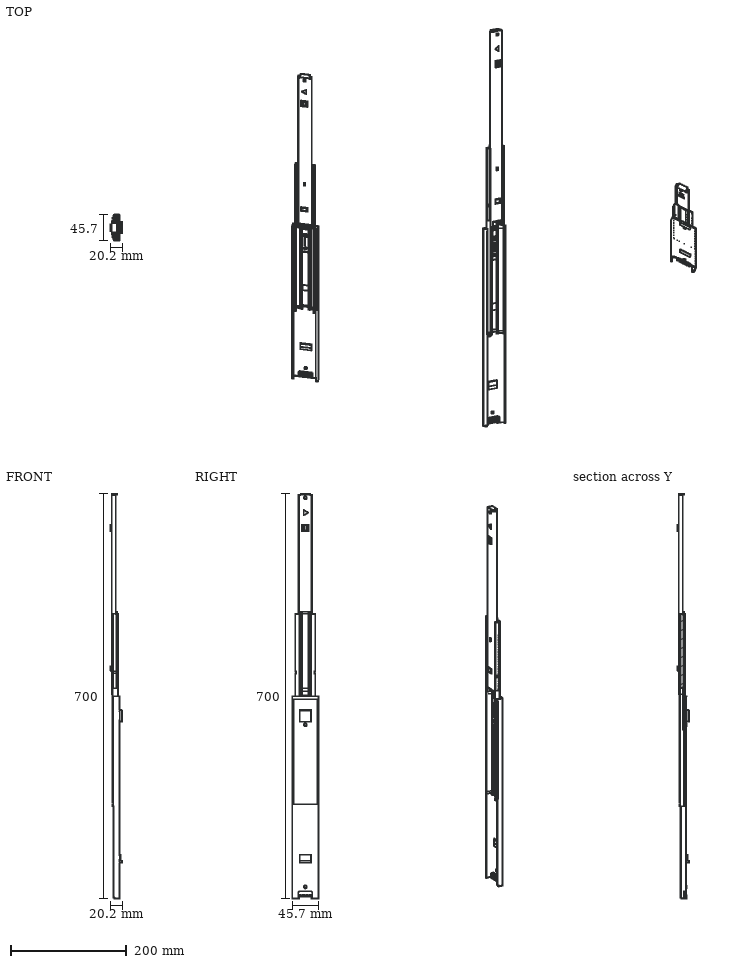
import cadquery as cq

CUT_MARGIN = 1.0

overall_depth = 20.19
overall_length = 700.0
x_hook_tip = overall_depth / 2
x_lance_tip = -overall_depth / 2

outer_half_width = 45.7 / 2
outer_wall = 1.5
outer_back = 5.9
outer_front = -4.9
outer_lip_edge = 19.4
outer_length = 350.0
outer_corner = 2.2
outer_lip_corner = 2.8
outer_lip_setback = 2.1
end_notch_half_width = 10.5
end_notch_height = 6.3
mounting_hole = 4.6
outer_hole_z = 20.4
outer_web_inside = outer_back - outer_wall

hook_half_width = 10.0
hook_plate = 2.0
hook_foot = 4.0
hook_window_half_width = 9.5
upper_window_margin = 2.5
lower_window_bottom = 67.6
lower_window_top = 75.4
lower_window_bevel = (0.8, 4.6)
lower_hook_bottom = 62.0
lower_hook_height = 14.4
upper_hook_bottom = 306.0
upper_hook_height = 20.8
upper_hook_bevel = 2.2

middle_half_width = 17.6
middle_wall = 1.3
middle_back = 3.3
middle_front = -7.0
middle_lip_edge = 15.1
middle_bottom = 159.5
middle_top = 492.0
middle_corner = 2.0
ridge_front = 0.4
ridge_base_half = 10.3
ridge_top_half = 8.3
ridge_tongue = 4.0
ridge_groove_half = 5.0
ridge_groove_depth = 0.5
lip_notch_z = 162.9
lip_notch_height = 3.9
flange_notch_z = 389.4
flange_notch_height = 3.4
flange_notch_inner = 16.2
window_z = 202.5
window_height = 12.0
end_window_height = 8.6
shared_hole_z = 300.4

inner_half_width = 12.0
inner_wall = 1.4
inner_web_face = -7.9
inner_open_face = -0.7
inner_bottom = 353.0
inner_web_bottom = 362.0
inner_flange_top = 697.8
inner_corner = 2.0
inner_tab_half = 8.2
inner_tab_tip = 1.4
inner_tab_wall = 1.8
inner_hole_z = 692.5
index_slot = (3.0, 5.5)
index_slot_z = 454.3
mark_size = (8.0, 9.5)
mark_depth = 0.4
mark_z = 667.0
mark_base_y = -3.0
lance_half_width = 5.8
lance_border = 1.6
lance_slot_half = 1.9
lance_slot_depth = 1.1
lance_step_half = 3.9
lance_step = 0.8
lance_bevel = 1.4
upper_lance_z = 635.0
upper_lance_height = 11.5
lower_lance_z = 393.0
lower_lance_height = 8.5

outer_cage_bottom = 163.0
outer_cage_top = 345.0
outer_cage_plate = 0.8
outer_cage_clearance = 0.15
outer_cage_back = outer_web_inside - outer_cage_clearance
outer_cage_front = -2.7
outer_cage_half_width = 20.4
outer_cage_arm = 2.0

inner_cage_bottom = 364.0
inner_cage_plate = 0.6
inner_cage_back = 0.2
inner_cage_front = -5.0
inner_cage_half_width = 16.1
inner_cage_arm = 0.8
cage_collar_height = 21.0
cage_collar_inner = 13.6

latch_half_width = ridge_groove_half
latch_thickness = 1.5
latch_bottom = 292.0
latch_top = 358.5
latch_back = ridge_front + ridge_groove_depth
latch_front = latch_back - latch_thickness
latch_groove_depth = 0.6
latch_groove_width = 2.4
latch_groove_heights = (328.0, 332.5, 345.5, 350.5)
latch_slot = (1.6, 15.0)
latch_slot_y = 1.05
latch_slot_z = 315.0

bumper_half_width = 12.4
bumper_bottom = 3.0
bumper_height = 9.8
bumper_front = 0.9
bumper_corner = 2.0
tooth_pitch = 6.3
tooth_gap = 2.0
tooth_gap_count = 4
tooth_gap_height = end_notch_height - bumper_bottom
rib_depth = 1.0
cross_groove = 1.4


def block(x_range, y_range, z_range):
    """Box between the given limits."""
    size = [abs(b - a) for a, b in (x_range, y_range, z_range)]
    corner = [min(limits) for limits in (x_range, y_range, z_range)]
    return cq.Workplane().box(*size, centered=False).translate(tuple(corner))


def centred_block(x_range, half_width, z_range):
    return block(x_range, (-half_width, half_width), z_range)


def side_blocks(x_range, y_inner, y_outer, z_range):
    """Equal boxes on the +Y and -Y sides."""
    return block(x_range, (y_inner, y_outer), z_range).union(
        block(x_range, (-y_outer, -y_inner), z_range)
    )


def cross_hole(diameter, z):
    """Round cutter along X, longer than the slide is deep."""
    return (
        cq.Workplane("YZ")
        .center(0, z)
        .circle(diameter / 2)
        .extrude(overall_depth, both=True)
    )


def channel(web_face, open_face, half_width, wall, opening_half, web_radius, open_radius, z_range):
    """C-section rail along Z, with its web at web_face and a slot through open_face."""
    inward = 1 if open_face > web_face else -1
    web_edges, open_edges = ("<X", ">X") if inward > 0 else (">X", "<X")
    lipped = opening_half < half_width - wall
    cavity_end = open_face - inward * wall if lipped else open_face + inward * CUT_MARGIN
    cavity = centred_block((web_face + inward * wall, cavity_end), half_width - wall, z_range)
    rail = centred_block((web_face, open_face), half_width, z_range)
    rail = rail.edges("|Z").edges(web_edges).fillet(web_radius)
    cavity = cavity.edges("|Z").edges(web_edges).fillet(web_radius - wall)
    if lipped:
        rail = rail.edges("|Z").edges(open_edges).fillet(open_radius)
        cavity = cavity.edges("|Z").edges(open_edges).fillet(open_radius - wall)
    slot_range = (web_face + inward * 2 * wall, open_face + inward * CUT_MARGIN)
    return rail.cut(cavity).cut(centred_block(slot_range, opening_half, z_range))


def add_hook(rail, window_range, outline):
    """Window in the web, bridged from behind by a hook of the given XZ outline."""
    window = centred_block(
        (outer_web_inside - CUT_MARGIN, outer_back + CUT_MARGIN),
        hook_window_half_width,
        window_range,
    )
    hook = cq.Workplane("XZ").polyline(outline).close().extrude(hook_half_width, both=True)
    return rail.cut(window).union(hook)


def make_outer_rail():
    rail = channel(
        outer_back, outer_front, outer_half_width, outer_wall, outer_lip_edge,
        outer_corner, outer_lip_corner, (0, outer_length),
    )
    rail = rail.cut(
        centred_block(
            (outer_web_inside - CUT_MARGIN, outer_back + CUT_MARGIN),
            end_notch_half_width,
            (-CUT_MARGIN, end_notch_height),
        )
    )
    lip_range = (outer_front - CUT_MARGIN, outer_front + outer_wall)
    rail = rail.cut(
        centred_block(lip_range, outer_half_width + CUT_MARGIN, (-CUT_MARGIN, outer_lip_setback))
    )
    hook_back = outer_back + hook_plate

    lower_top = lower_hook_bottom + lower_hook_height
    lower_outline = [
        (outer_back, lower_hook_bottom),
        (x_hook_tip, lower_hook_bottom),
        (x_hook_tip, lower_hook_bottom + hook_foot),
        (hook_back, lower_hook_bottom + hook_foot),
        (hook_back, lower_top),
        (outer_back, lower_top),
    ]
    rail = add_hook(rail, (lower_window_bottom, lower_window_top), lower_outline)
    bevel_depth, bevel_height = lower_window_bevel
    bevel = (
        cq.Workplane("XZ")
        .polyline([
            (outer_web_inside, lower_window_bottom - bevel_height),
            (outer_web_inside, lower_window_bottom),
            (outer_web_inside + bevel_depth, lower_window_bottom),
        ])
        .close()
        .extrude(hook_window_half_width, both=True)
    )
    rail = rail.cut(bevel)

    upper_top = upper_hook_bottom + upper_hook_height
    upper_outline = [
        (outer_back, upper_hook_bottom),
        (x_hook_tip, upper_hook_bottom),
        (x_hook_tip, upper_top - upper_hook_bevel),
        (x_hook_tip - upper_hook_bevel, upper_top),
        (outer_back, upper_top),
    ]
    upper_window = (upper_hook_bottom + upper_window_margin, upper_top - upper_window_margin)
    rail = add_hook(rail, upper_window, upper_outline)
    rail = rail.cut(cross_hole(mounting_hole, outer_hole_z))
    return rail.cut(cross_hole(mounting_hole, shared_hole_z))


def ridge_prism(x_base, x_top, half_base, half_top, z_range):
    """Trapezoid prism along Z that narrows toward -X."""
    bottom, top = z_range
    return (
        cq.Workplane("XY", origin=(0, 0, bottom))
        .polyline([(x_base, -half_base), (x_top, -half_top), (x_top, half_top), (x_base, half_base)])
        .close()
        .extrude(top - bottom)
    )


def make_middle_rail():
    z_range = (middle_bottom, middle_top)
    rail = channel(
        middle_back, middle_front, middle_half_width, middle_wall, middle_lip_edge,
        middle_corner, middle_corner, z_range,
    )
    ridge_range = (middle_bottom, middle_top + ridge_tongue)
    hollow_half = ridge_top_half - middle_wall / 2
    base_x = middle_back - middle_wall
    rail = rail.union(ridge_prism(base_x, ridge_front, ridge_base_half, ridge_top_half, ridge_range))
    rail = rail.cut(
        ridge_prism(middle_back, ridge_front + middle_wall, ridge_base_half, hollow_half, ridge_range)
    )
    groove_range = (ridge_front - CUT_MARGIN, ridge_front + ridge_groove_depth)
    rail = rail.cut(centred_block(groove_range, ridge_groove_half, ridge_range))

    web_range = (ridge_front - CUT_MARGIN, middle_back + CUT_MARGIN)
    window_ranges = (
        (window_z, window_z + window_height),
        (middle_bottom - CUT_MARGIN, middle_bottom + end_window_height),
    )
    for window_range in window_ranges:
        rail = rail.cut(centred_block(web_range, ridge_groove_half, window_range))

    lip_range = (middle_front - CUT_MARGIN, middle_front + middle_wall)
    lip_notch = (lip_notch_z, lip_notch_z + lip_notch_height)
    rail = rail.cut(centred_block(lip_range, middle_half_width + CUT_MARGIN, lip_notch))
    rail = rail.cut(
        side_blocks(
            (middle_front - CUT_MARGIN, middle_back + CUT_MARGIN),
            flange_notch_inner,
            middle_half_width + CUT_MARGIN,
            (flange_notch_z, flange_notch_z + flange_notch_height),
        )
    )
    return rail.cut(cross_hole(mounting_hole, shared_hole_z))


def add_lance(rail, bottom, height):
    """Bridge pressed out of the web toward -X, over a window in the web."""
    web_inside = inner_web_face + inner_wall
    z_range = (bottom, bottom + height)
    bridge = centred_block((x_lance_tip, inner_web_face), lance_half_width, z_range)
    window = centred_block(
        (inner_web_face - inner_wall / 2, web_inside + CUT_MARGIN),
        lance_half_width - lance_border,
        (bottom + lance_border, bottom + height - lance_border),
    )
    return rail.union(bridge).cut(window)


def make_inner_rail():
    rail = channel(
        inner_web_face, inner_open_face, inner_half_width, inner_wall, inner_half_width - inner_wall,
        inner_corner, 0, (inner_bottom, inner_flange_top),
    )
    web_inside = inner_web_face + inner_wall
    rail = rail.cut(
        centred_block(
            (inner_web_face - CUT_MARGIN, web_inside + CUT_MARGIN),
            inner_half_width - inner_corner,
            (inner_bottom - CUT_MARGIN, inner_web_bottom),
        )
    )
    web_extension = (inner_flange_top, overall_length)
    rail = rail.union(centred_block((inner_web_face, web_inside), inner_tab_half, web_extension))
    rail = rail.union(
        centred_block(
            (inner_web_face, inner_tab_tip),
            inner_tab_half,
            (overall_length - inner_tab_wall, overall_length),
        )
    )
    rail = rail.cut(cross_hole(mounting_hole, inner_hole_z))

    slot_width, slot_length = index_slot
    slot_range = (index_slot_z - slot_length / 2, index_slot_z + slot_length / 2)
    rail = rail.cut(
        centred_block((inner_web_face - CUT_MARGIN, web_inside + CUT_MARGIN), slot_width / 2, slot_range)
    )

    mark_reach, mark_base = mark_size
    mark = (
        cq.Workplane("YZ", origin=(inner_web_face, 0, mark_z))
        .polyline([
            (mark_base_y, -mark_base / 2),
            (mark_base_y, mark_base / 2),
            (mark_base_y + mark_reach, 0),
        ])
        .close()
        .extrude(mark_depth)
    )
    rail = rail.cut(mark)
    rail = add_lance(rail, upper_lance_z, upper_lance_height)
    rail = add_lance(rail, lower_lance_z, lower_lance_height)

    slot_z = (upper_lance_z + lance_border, upper_lance_z + upper_lance_height - lance_border)
    slot_x = (x_lance_tip - CUT_MARGIN, x_lance_tip + lance_slot_depth)
    rail = rail.cut(centred_block(slot_x, lance_slot_half, slot_z))
    step_x = (x_lance_tip - CUT_MARGIN, x_lance_tip + lance_step)
    rail = rail.cut(side_blocks(step_x, lance_step_half, lance_half_width + CUT_MARGIN, slot_z))

    bevel = (
        cq.Workplane("XZ")
        .polyline([
            (x_lance_tip, lower_lance_z),
            (x_lance_tip + lance_bevel, lower_lance_z),
            (x_lance_tip, lower_lance_z + lance_bevel),
        ])
        .close()
        .extrude(lance_half_width, both=True)
    )
    return rail.cut(bevel)


def cage(x_front, x_back, half_width, plate, arm, z_range):
    """U-section retainer: a plate along its back and an arm on each side."""
    base = centred_block((x_back - plate, x_back), half_width, z_range)
    return base.union(side_blocks((x_front, x_back), half_width - arm, half_width, z_range))


def make_outer_cage():
    retainer = cage(
        outer_cage_front, outer_cage_back, outer_cage_half_width, outer_cage_plate, outer_cage_arm,
        (outer_cage_bottom, outer_cage_top),
    )
    return retainer.cut(cross_hole(mounting_hole, shared_hole_z))


def make_inner_cage():
    retainer = cage(
        inner_cage_front, inner_cage_back, inner_cage_half_width, inner_cage_plate, inner_cage_arm,
        (inner_cage_bottom, middle_top),
    )
    arm_inside = inner_cage_half_width - inner_cage_arm
    collar_range = (middle_top - cage_collar_height, middle_top)
    x_range = (inner_cage_front, inner_cage_back)
    return retainer.union(side_blocks(x_range, cage_collar_inner, arm_inside, collar_range))


def make_latch():
    latch = centred_block((latch_front, latch_back), latch_half_width, (latch_bottom, latch_top))
    groove_x = (latch_front - CUT_MARGIN, latch_front + latch_groove_depth)
    for z in latch_groove_heights:
        groove_z = (z - latch_groove_width / 2, z + latch_groove_width / 2)
        latch = latch.cut(centred_block(groove_x, latch_half_width, groove_z))
    slot_width, slot_length = latch_slot
    slot_z = (latch_slot_z - slot_length / 2, latch_slot_z + slot_length / 2)
    slot_y = (latch_slot_y - slot_width / 2, latch_slot_y + slot_width / 2)
    latch = latch.cut(block(groove_x, slot_y, slot_z))
    return latch.cut(cross_hole(mounting_hole, shared_hole_z))


def make_bumper():
    top = bumper_bottom + bumper_height
    bumper = centred_block((bumper_front, outer_web_inside), bumper_half_width, (bumper_bottom, top))
    bumper = bumper.edges("|X").edges(">Z").chamfer(bumper_corner)
    for index in range(tooth_gap_count):
        gap_y = (index - (tooth_gap_count - 1) / 2) * tooth_pitch
        y_range = (gap_y - tooth_gap / 2, gap_y + tooth_gap / 2)
        gap_z = (bumper_bottom - CUT_MARGIN, bumper_bottom + tooth_gap_height)
        gap = block((bumper_front - CUT_MARGIN, outer_web_inside), y_range, gap_z)
        groove = block((bumper_front - CUT_MARGIN, bumper_front + rib_depth), y_range, (bumper_bottom, top))
        bumper = bumper.cut(gap).cut(groove)
    groove_bottom = bumper_bottom + (bumper_height - cross_groove) / 2
    groove_z = (groove_bottom, groove_bottom + cross_groove)
    groove_x = (bumper_front - CUT_MARGIN, bumper_front + rib_depth)
    return bumper.cut(centred_block(groove_x, bumper_half_width, groove_z))


outer_rail = make_outer_rail()
middle_rail = make_middle_rail()
inner_rail = make_inner_rail()
outer_cage = make_outer_cage()
inner_cage = make_inner_cage()
latch = make_latch()
bumper = make_bumper()

result = cq.Compound.makeCompound([
    outer_rail.val(),
    middle_rail.val(),
    inner_rail.val(),
    outer_cage.val(),
    inner_cage.val(),
    latch.val(),
    bumper.val(),
])